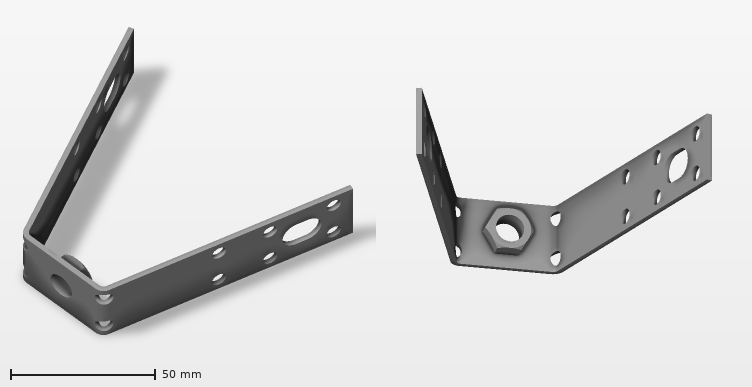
import cadquery as cq
import math

span = 105.3
depth = 93.2
strip_width = 25.0
thickness = 2.0
inner_radius = 2.0
outer_radius = inner_radius + thickness
lean = 20.0
bend_angle = 90.0 - lean

row_spacing = 15.0
hole_diameter = 5.5
tip_to_first_hole = 7.5
first_to_second_hole = 25.0
second_to_third_hole = 20.0
slot_length = 15.2
slot_width = 11.0
neutral_radius = 2.6
bend_hole_center = 2.3
bend_sections = 9
radial_margin = 0.5

nut_across_flats = 15.0
nut_height = 6.1
nut_chamfer_height = 1.2
nut_bore = 10.0
collar_diameter = 12.5

sin_lean = math.sin(math.radians(lean))
cos_lean = math.cos(math.radians(lean))
bend_end_y = outer_radius * (1 - sin_lean)
leg_length = (depth - bend_end_y - thickness * sin_lean) / cos_lean
bend_center_x = span / 2 - leg_length * sin_lean - outer_radius * cos_lean
bend_end_x = bend_center_x + outer_radius * cos_lean
first_hole = leg_length - tip_to_first_hole
second_hole = first_hole - first_to_second_hole
third_hole = second_hole - second_to_third_hole
slot_center = (first_hole + second_hole) / 2
bend_length = neutral_radius * math.radians(bend_angle)
row_heights = (-row_spacing / 2, row_spacing / 2)

leg_plane = cq.Plane(
    origin=(bend_end_x, bend_end_y, 0),
    xDir=(sin_lean, cos_lean, 0),
    normal=(cos_lean, -sin_lean, 0),
)


def bend_point(radius, angle):
    """Point on the right-hand bend, at an angle from the -Y direction."""
    turn = math.radians(angle)
    return (
        bend_center_x + radius * math.sin(turn),
        outer_radius - radius * math.cos(turn),
    )


def make_strip():
    """Right half of the bent strip, mirrored to make the whole."""
    outer_tip = (span / 2, bend_end_y + leg_length * cos_lean)
    inner_tip = (outer_tip[0] - thickness * cos_lean, depth)
    half = (
        cq.Workplane("XY")
        .moveTo(0, 0)
        .lineTo(bend_center_x, 0)
        .threePointArc(bend_point(outer_radius, bend_angle / 2), bend_point(outer_radius, bend_angle))
        .lineTo(*outer_tip)
        .lineTo(*inner_tip)
        .lineTo(*bend_point(inner_radius, bend_angle))
        .threePointArc(bend_point(inner_radius, bend_angle / 2), (bend_center_x, thickness))
        .lineTo(0, thickness)
        .close()
        .extrude(strip_width / 2, both=True)
    )
    return half.union(half.mirror("YZ"))


def leg_cutters():
    """Holes and slot square to the right-hand leg."""
    hole_places = [(along, z) for along in (first_hole, second_hole, third_hole) for z in row_heights]
    holes = cq.Workplane(leg_plane).pushPoints(hole_places).circle(hole_diameter / 2)
    slot = cq.Workplane(leg_plane).center(slot_center, 0).slot2D(slot_length, slot_width)
    return holes.extrude(thickness, both=True).union(slot.extrude(thickness, both=True))


def segment_cutter(plane, center):
    """Part of a round hole on the +x side of a plane's origin, for each row."""
    radius = hole_diameter / 2
    discs = (
        cq.Workplane(plane)
        .pushPoints([(center, z) for z in row_heights])
        .circle(radius)
        .extrude(thickness, both=True)
    )
    kept_side = (
        cq.Workplane(plane)
        .center(radius, 0)
        .rect(2 * radius, strip_width)
        .extrude(thickness, both=True)
    )
    return discs.intersect(kept_side)


def curved_cutter(z):
    """Part of a hole inside the bend: its walls follow the radii of the bend."""
    sections = []
    for step in range(bend_sections):
        angle = bend_angle * step / (bend_sections - 1)
        along = neutral_radius * math.radians(angle)
        half_height = math.sqrt((hole_diameter / 2) ** 2 - (along - bend_hole_center) ** 2)
        inner = bend_point(inner_radius - radial_margin, angle)
        outer = bend_point(outer_radius + radial_margin, angle)
        corners = [
            cq.Vector(*inner, z - half_height),
            cq.Vector(*outer, z - half_height),
            cq.Vector(*outer, z + half_height),
            cq.Vector(*inner, z + half_height),
        ]
        sections.append(cq.Wire.makePolygon(corners, close=True))
    return cq.Workplane(obj=cq.Solid.makeLoft(sections))


def bend_cutters():
    """Holes made in the flat strip and folded with it around the right-hand bend."""
    base_plane = cq.Plane(origin=(bend_center_x, 0, 0), xDir=(-1, 0, 0), normal=(0, 1, 0))
    cutters = segment_cutter(base_plane, -bend_hole_center)
    cutters = cutters.union(segment_cutter(leg_plane, bend_hole_center - bend_length))
    for z in row_heights:
        cutters = cutters.union(curved_cutter(z))
    return cutters


def make_bracket():
    cutters = leg_cutters().union(bend_cutters())
    collar_hole = cq.Workplane("XZ").circle(collar_diameter / 2).extrude(-thickness)
    return make_strip().cut(cutters).cut(cutters.mirror("YZ")).cut(collar_hole)


def make_nut():
    """Hexagon with two corners on the X axis, chamfered at its free end."""
    corner_diameter = nut_across_flats / math.cos(math.radians(30))
    top = thickness + nut_height
    hexagon = (
        cq.Workplane("XZ", origin=(0, thickness, 0))
        .polygon(6, corner_diameter)
        .extrude(-nut_height)
    )
    chamfer_envelope = (
        cq.Workplane("XY")
        .moveTo(0, thickness)
        .lineTo(corner_diameter / 2, thickness)
        .lineTo(corner_diameter / 2, top - nut_chamfer_height)
        .lineTo(nut_across_flats / 2, top)
        .lineTo(0, top)
        .close()
        .revolve(360, (0, 0, 0), (0, 1, 0))
    )
    collar = cq.Workplane("XZ").circle(collar_diameter / 2).extrude(-thickness)
    bore = cq.Workplane("XZ").circle(nut_bore / 2).extrude(-top)
    return hexagon.intersect(chamfer_envelope).union(collar).cut(bore)


bracket = make_bracket()
nut = make_nut()
result = cq.Compound.makeCompound([bracket.val(), nut.val()])